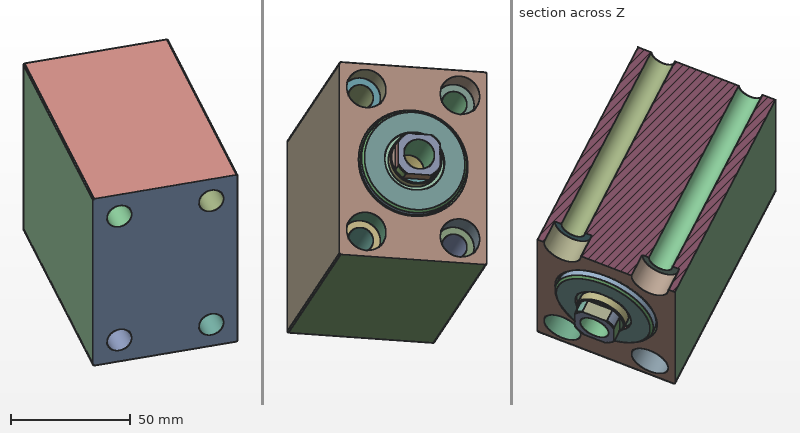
import cadquery as cq
import math

OVERALL_LENGTH = 115.0
BLOCK_WIDTH = 63.0
BLOCK_HEIGHT = 85.0
EDGE_CHAMFER = 0.6

BLOCK_FACE = 12.0
GLAND_FACE = 9.0
ROD_SHOULDER = 6.0

BOLT_SPACING_Y = 40.0
BOLT_SPACING_Z = 63.0
BOLT_DIAMETER = 10.7
COUNTERBORE_DIAMETER = 16.8
COUNTERBORE_DEPTH = 11.0

GLAND_DIAMETER = 45.0
GLAND_CHAMFER = 1.0
GLAND_SEAT_DEPTH = 23.0
SEAT_CHAMFER = 0.9
WIPER_DIAMETER = 25.5
WIPER_DEPTH = 1.4

ROD_DIAMETER = 22.0
ROD_CHAMFER = 0.5
HEAD_DIAMETER = 21.0
HEAD_CHAMFER = 0.3
HEAD_FLATS = 17.8
THREAD_HOLE_DIAMETER = 13.0
THREAD_HOLE_DEPTH = 20.7
DRILL_POINT_ANGLE = 118.0

GLAND_BACK = BLOCK_FACE + GLAND_SEAT_DEPTH


def cylinder(diameter, start, end):
    """Solid cylinder on the X axis between two X places."""
    return cq.Workplane("YZ", origin=(start, 0, 0)).circle(diameter / 2).extrude(end - start)


def revolve_about_x(points):
    """Solid of revolution about the X axis from (x, radius) points."""
    return cq.Workplane("XY").polyline(points).close().revolve(360, (0, 0, 0), (1, 0, 0))


def countersink(diameter, face, size):
    """45 degree cutter that bevels the mouth of a bore opening at the X place `face`."""
    radius = diameter / 2
    return revolve_about_x([(face, 0), (face, radius + size), (face + size, radius), (face + size, 0)])


def make_housing():
    length = OVERALL_LENGTH - BLOCK_FACE
    block = (
        cq.Workplane("YZ", origin=(BLOCK_FACE, 0, 0))
        .rect(BLOCK_WIDTH, BLOCK_HEIGHT)
        .extrude(length)
        .edges("|X")
        .chamfer(EDGE_CHAMFER)
    )
    bolt_places = (
        cq.Workplane("YZ", origin=(BLOCK_FACE, 0, 0))
        .rect(BOLT_SPACING_Y, BOLT_SPACING_Z, forConstruction=True)
        .vertices()
    )
    bolt_holes = bolt_places.circle(BOLT_DIAMETER / 2).extrude(length)
    counterbores = bolt_places.circle(COUNTERBORE_DIAMETER / 2).extrude(COUNTERBORE_DEPTH)
    return (
        block.cut(bolt_holes)
        .cut(counterbores)
        .cut(cylinder(GLAND_DIAMETER, BLOCK_FACE, GLAND_BACK))
        .cut(countersink(GLAND_DIAMETER, BLOCK_FACE, SEAT_CHAMFER))
    )


def make_gland():
    """Ring seated in the housing that guides the rod, with a wiper recess in its face."""
    ring = cylinder(GLAND_DIAMETER, GLAND_FACE, GLAND_BACK).faces("<X").chamfer(GLAND_CHAMFER)
    rod_bore = cylinder(ROD_DIAMETER, GLAND_FACE, GLAND_BACK)
    wiper_recess = cylinder(WIPER_DIAMETER, GLAND_FACE, GLAND_FACE + WIPER_DEPTH)
    return ring.cut(rod_bore).cut(wiper_recess)


def make_rod():
    """Piston rod with a four-flat wrench head and a blind drilled hole in its end."""
    shank = cylinder(ROD_DIAMETER, ROD_SHOULDER, GLAND_BACK).faces("<X").chamfer(ROD_CHAMFER)
    flats = cq.Workplane("YZ").rect(HEAD_FLATS, HEAD_FLATS).extrude(ROD_SHOULDER)
    head = cylinder(HEAD_DIAMETER, 0, ROD_SHOULDER).faces("<X").chamfer(HEAD_CHAMFER).intersect(flats)
    hole_radius = THREAD_HOLE_DIAMETER / 2
    point_depth = hole_radius / math.tan(math.radians(DRILL_POINT_ANGLE / 2))
    hole = revolve_about_x(
        [(0, 0), (0, hole_radius), (THREAD_HOLE_DEPTH, hole_radius), (THREAD_HOLE_DEPTH + point_depth, 0)]
    )
    return shank.union(head).cut(hole)


housing = make_housing()
gland = make_gland()
rod = make_rod()

result = cq.Compound.makeCompound([housing.val(), gland.val(), rod.val()])